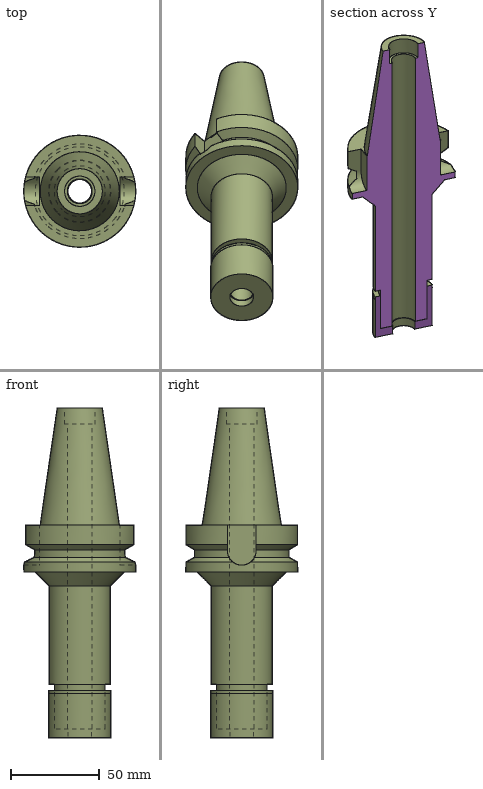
import cadquery as cq


gauge_diameter = 44.45
taper_length = 65.4
taper_ratio = 7 / 24
taper_tip_diameter = gauge_diameter - taper_ratio * taper_length

flange_diameter = 63
flange_top = -0.5
groove_diameter = 53.2
groove_top = -11.5
groove_floor_top = -14.4
groove_floor_bottom = -18.6
groove_bottom = -21.3
flange_bottom = -27

slot_width = 16.1
slot_floor_distance = 22.6
slot_bottom = -23
slot_round_centre = slot_bottom + slot_width / 2

body_diameter = 34.5
cone_diameter = 50
cone_height = (cone_diameter - body_diameter) / 2
body_bottom = -90
neck_diameter = 28.6

mouth_diameter = 17
mouth_depth = 9
holder_bore_diameter = 14

nut_diameter = 35
nut_rim_diameter = 34.9
nut_top = -93.4
nut_rim_height = 1.8
nut_bottom = -120
nut_end_wall = 5
nut_bore_diameter = 13.2
neck_bottom = nut_bottom + nut_end_wall


def cylinder(diameter, bottom, top):
    """Cylinder on the Z axis between two heights."""
    return cq.Workplane("XY").workplane(offset=bottom).circle(diameter / 2).extrude(top - bottom)


def revolve_profile(steps):
    """Solid of revolution about Z from (diameter, height) corners, closed along the axis."""
    points = [(diameter / 2, height) for diameter, height in steps]
    points = [(0, steps[0][1])] + points + [(0, steps[-1][1])]
    return cq.Workplane("XZ").polyline(points).close().revolve(360, (0, 0), (0, 1))


def drive_slot(side):
    """Round-bottomed slot cutter, open at the top and outside, on side +1 or -1 of X."""
    half_width = slot_width / 2
    return (
        cq.Workplane("YZ")
        .workplane(offset=side * slot_floor_distance)
        .moveTo(-half_width, flange_top)
        .lineTo(-half_width, slot_round_centre)
        .threePointArc((0, slot_bottom), (half_width, slot_round_centre))
        .lineTo(half_width, flange_top)
        .close()
        .extrude(side * flange_diameter / 2)
    )


def make_holder():
    holder = revolve_profile([
        (taper_tip_diameter, taper_length),
        (gauge_diameter, 0),
        (gauge_diameter, flange_top),
        (flange_diameter, flange_top),
        (flange_diameter, groove_top),
        (groove_diameter, groove_floor_top),
        (groove_diameter, groove_floor_bottom),
        (flange_diameter, groove_bottom),
        (flange_diameter, flange_bottom),
        (cone_diameter, flange_bottom),
        (body_diameter, flange_bottom - cone_height),
        (body_diameter, body_bottom),
        (neck_diameter, body_bottom),
        (neck_diameter, neck_bottom),
    ])
    for side in (-1, 1):
        holder = holder.cut(drive_slot(side))
    holder = holder.cut(cylinder(holder_bore_diameter, neck_bottom, taper_length))
    return holder.cut(cylinder(mouth_diameter, taper_length - mouth_depth, taper_length))


def make_nut():
    nut = revolve_profile([
        (nut_rim_diameter, nut_top),
        (nut_rim_diameter, nut_top - nut_rim_height),
        (nut_diameter, nut_top - nut_rim_height),
        (nut_diameter, nut_bottom),
    ])
    nut = nut.cut(cylinder(neck_diameter, neck_bottom, nut_top))
    return nut.cut(cylinder(nut_bore_diameter, nut_bottom, neck_bottom))


holder = make_holder()
nut = make_nut()
result = cq.Compound.makeCompound([holder.val(), nut.val()])